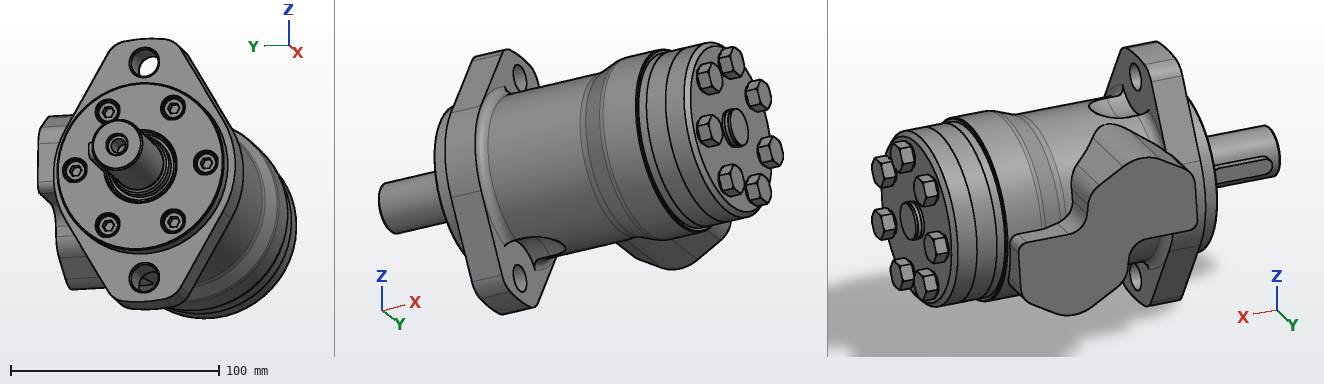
import cadquery as cq
import math


pilot_front_x = 46.3
flange_front_x = 54.5
flange_back_x = 71.0
shoulder_start_x = 127.5
shoulder_end_x = 139.7
housing_end_x = 159.3
spacer_end_x = 163.5
rotor_ring_end_x = 174.0
cover_end_x = 186.5
overall_length = 193.8

pilot_radius = 41.3
pilot_chamfer = 0.5
waist_radius = 40.5
shoulder_radius = 45.0
root_fillet = shoulder_radius - waist_radius
shoulder_start_blend = 9.7
shoulder_end_blend = 6.2
housing_end_chamfer = 0.5

flange_tip_radius = 65.0
flange_side_angle = 30.0
flange_corner_radius = 11.5
mount_hole_z = 53.0
mount_hole_diameter = 13.4
mount_hole_chamfer = 0.8
scallop_radius = 18.6
scallop_ball_x = 80.8

boss_center_x = 110.5
boss_root_y = 12.5
boss_face_y = 55.0
boss_step_z = 5.2
lobe_center_x = 92.6
lobe_wall_bottom = 29.6
lobe_wall_top = 27.7
lobe_roof_z = 25.0
lobe_apex_z = 41.3
lobe_apex_radius = 19.4
lobe_roof_radius = 12.0
boss_outer_radius = 4.5
boss_inner_radius = 9.7

screw_count = 6
screw_circle_radius = 32.4
screw_recess_diameter = 12.0
screw_recess_depth = 2.5
screw_head_diameter = 10.0
screw_head_height = 1.2
screw_head_chamfer = 0.4
screw_socket_flats = 5.0
screw_socket_depth = 3.9

seal_recess_diameter = 36.0
seal_recess_depth = 1.5
seal_recess_taper = 0.8
seal_step_diameter = 32.5
seal_step_depth = 3.0
shaft_diameter = 25.0
shaft_chamfer = 0.8
collar_diameter = 29.0
collar_front_x = 43.6
collar_chamfer = 1.0
shaft_groove_diameter = 24.2
shaft_groove_width = 0.8
center_bore_diameter = 10.0
center_bore_depth = 3.0
center_bore_chamfer = 0.4
center_hole_diameter = 7.0
center_hole_depth = 15.5
drill_tip_angle = 120.0
key_start_x = 5.8
key_length = 31.8
key_width = 8.1
key_height = 7.0
key_top_y = 15.5

stack_diameter = 86.0
cover_chamfer = 2.3
bolt_count = 7
bolt_circle_radius = 32.0
bolt_flats = 13.0
bolt_washer_diameter = 11.8
bolt_washer_thickness = 1.0
bolt_chamfer = 0.5
plug_neck_diameter = 18.0
plug_neck_length = 1.4
plug_diameter = 18.6
plug_tip_x = 189.7
plug_end_x = 190.9


def cylinder_x(x, length, diameter, y=0.0, z=0.0):
    """Cylinder along +X that starts at (x, y, z)."""
    axis_start = cq.Vector(x, y, z)
    return cq.Workplane(cq.Solid.makeCylinder(diameter / 2, length, axis_start, cq.Vector(1, 0, 0)))


def hexagon_x(x, length, flats, y=0.0, z=0.0):
    """Hexagonal prism along +X with two corners pointing along Y."""
    corner_diameter = flats / math.cos(math.radians(30))
    plane = cq.Workplane("YZ", origin=(x, y, z))
    return plane.polygon(6, corner_diameter).extrude(length)


def circle_places(count, radius):
    """Evenly spaced (y, z) places on a circle, the first one on the +Y side."""
    angles = [2 * math.pi * i / count for i in range(count)]
    return [(radius * math.cos(a), radius * math.sin(a)) for a in angles]


def make_barrel():
    """Turned part of the housing, from the flange to the rear shoulder."""
    root_end_x = flange_back_x + root_fillet
    root_middle = root_fillet * (1 - math.cos(math.radians(45)))
    profile = (
        cq.Workplane("XY")
        .moveTo(flange_front_x, 0)
        .lineTo(flange_front_x, shoulder_radius)
        .lineTo(flange_back_x, shoulder_radius)
        .threePointArc(
            (flange_back_x + root_middle, waist_radius + root_middle),
            (root_end_x, waist_radius),
        )
        .lineTo(shoulder_start_x, waist_radius)
        .lineTo(shoulder_end_x, shoulder_radius)
        .lineTo(housing_end_x, shoulder_radius)
        .lineTo(housing_end_x, 0)
        .close()
    )
    barrel = profile.revolve(360, (0, 0, 0), (1, 0, 0))
    for x, blend in ((shoulder_start_x, shoulder_start_blend), (shoulder_end_x, shoulder_end_blend)):
        barrel = barrel.edges(cq.selectors.NearestToPointSelector((x, 0, 0))).fillet(blend)
    return barrel.faces(">X").edges().chamfer(housing_end_chamfer)


def make_flange():
    """Diamond flange with rounded sides, and tips cut by a circle about the shaft axis."""
    thickness = flange_back_x - flange_front_x
    side_y = shoulder_radius / math.cos(math.radians(flange_side_angle))
    tip_z = shoulder_radius / math.sin(math.radians(flange_side_angle))
    diamond = (
        cq.Workplane("YZ", origin=(flange_front_x, 0, 0))
        .polyline([(side_y, 0), (0, tip_z), (-side_y, 0), (0, -tip_z)])
        .close()
        .extrude(thickness)
    )
    for side in (">Y", "<Y"):
        diamond = diamond.edges(side).fillet(shoulder_radius)
    flange = diamond.intersect(cylinder_x(flange_front_x, thickness, 2 * flange_tip_radius))
    middle_x = (flange_front_x + flange_back_x) / 2
    corner_angle = math.radians(flange_side_angle) + math.acos(shoulder_radius / flange_tip_radius)
    corner_y = flange_tip_radius * math.cos(corner_angle)
    corner_z = flange_tip_radius * math.sin(corner_angle)
    for y_side, z_side in ((1, 1), (1, -1), (-1, 1), (-1, -1)):
        corner = (middle_x, y_side * corner_y, z_side * corner_z)
        flange = flange.edges(cq.selectors.NearestToPointSelector(corner)).fillet(flange_corner_radius)
    return flange


def make_scallop(side):
    """Round-ended clearance behind a mounting hole; side is +1 above the axis and -1 below."""
    z = side * mount_hole_z
    length = scallop_ball_x - flange_back_x
    channel = cylinder_x(flange_back_x, length, 2 * scallop_radius, 0, z)
    ball = cq.Workplane("XY", origin=(scallop_ball_x, 0, z)).sphere(scallop_radius)
    behind_flange = cq.Workplane("XY", origin=(flange_back_x, 0, z)).box(
        2 * flange_tip_radius, 2 * flange_tip_radius, 2 * flange_tip_radius, centered=(False, True, True)
    )
    return channel.union(ball).intersect(behind_flange)


def make_mount_hole(side):
    """Through hole of the flange, chamfered at the front face."""
    z = side * mount_hole_z
    hole = cylinder_x(flange_front_x, flange_back_x - flange_front_x, mount_hole_diameter, 0, z)
    mouth_radius = mount_hole_diameter / 2 + mount_hole_chamfer
    mouth = cq.Workplane(
        cq.Solid.makeCone(
            mouth_radius,
            mount_hole_diameter / 2,
            mount_hole_chamfer,
            cq.Vector(flange_front_x, 0, z),
            cq.Vector(1, 0, 0),
        )
    )
    return hole.union(mouth)


def make_port_boss():
    """Boss on the +Y side for the two ports."""
    lobe_corners = [
        (lobe_center_x - lobe_wall_bottom, -boss_step_z, boss_outer_radius),
        (lobe_center_x - lobe_wall_top, lobe_roof_z, lobe_roof_radius),
        (lobe_center_x, lobe_apex_z, lobe_apex_radius),
        (lobe_center_x + lobe_wall_top, lobe_roof_z, lobe_roof_radius),
        (lobe_center_x + lobe_wall_bottom, boss_step_z, boss_inner_radius),
    ]
    turned_corners = [(2 * boss_center_x - x, -z, radius) for x, z, radius in lobe_corners]
    corners = lobe_corners + turned_corners
    boss = (
        cq.Workplane("XZ", origin=(0, boss_root_y, 0))
        .polyline([(x, z) for x, z, _ in corners])
        .close()
        .extrude(boss_root_y - boss_face_y)
    )
    middle_y = (boss_root_y + boss_face_y) / 2
    for x, z, radius in corners:
        boss = boss.edges(cq.selectors.NearestToPointSelector((x, middle_y, z))).fillet(radius)
    return boss


def make_screw_recess(y, z):
    """Cut for one socket screw: a ring around the sunken head, and its hexagonal socket."""
    head_x = pilot_front_x + screw_recess_depth - screw_head_height
    recess = cylinder_x(pilot_front_x, screw_recess_depth, screw_recess_diameter, y, z)
    head = cylinder_x(head_x, screw_head_height, screw_head_diameter, y, z)
    head = head.faces("<X").edges().chamfer(screw_head_chamfer)
    socket = hexagon_x(head_x, screw_socket_depth, screw_socket_flats, y, z)
    return recess.cut(head).union(socket)


def make_housing():
    pilot_length = flange_front_x - pilot_front_x
    pilot = cylinder_x(pilot_front_x, pilot_length, 2 * pilot_radius)
    pilot = pilot.faces("<X").edges().chamfer(pilot_chamfer)
    housing = make_barrel().union(make_flange()).union(pilot)
    for side in (1, -1):
        housing = housing.cut(make_scallop(side)).cut(make_mount_hole(side))
    housing = housing.union(make_port_boss())
    for y, z in circle_places(screw_count, screw_circle_radius):
        housing = housing.cut(make_screw_recess(y, z))
    seal_recess = cylinder_x(pilot_front_x, seal_recess_depth, seal_recess_diameter)
    housing = housing.cut(seal_recess.faces(">X").edges().chamfer(seal_recess_taper))
    housing = housing.cut(cylinder_x(pilot_front_x, seal_step_depth, seal_step_diameter))
    return housing.cut(cylinder_x(pilot_front_x, flange_back_x - pilot_front_x, collar_diameter))


def make_key():
    """Round-ended parallel key on the +Y side of the shaft."""
    middle_x = key_start_x + key_length / 2
    return (
        cq.Workplane("XZ", origin=(middle_x, key_top_y, 0))
        .slot2D(key_length, key_width)
        .extrude(key_height)
    )


def make_center_hole():
    """Counterbored hole with a drill tip in the free end of the shaft."""
    bore_radius = center_bore_diameter / 2
    hole_radius = center_hole_diameter / 2
    tip_length = hole_radius / math.tan(math.radians(drill_tip_angle / 2))
    return (
        cq.Workplane("XY")
        .polyline([
            (0, 0),
            (0, bore_radius + center_bore_chamfer),
            (center_bore_chamfer, bore_radius),
            (center_bore_depth, bore_radius),
            (center_bore_depth, hole_radius),
            (center_hole_depth, hole_radius),
            (center_hole_depth + tip_length, 0),
        ])
        .close()
        .revolve(360, (0, 0, 0), (1, 0, 0))
    )


def make_shaft():
    """Keyed shaft with a collar that fills the housing bore."""
    groove_x = collar_front_x - shaft_groove_width
    journal = cylinder_x(0, groove_x, shaft_diameter).faces("<X").edges().chamfer(shaft_chamfer)
    groove = cylinder_x(groove_x, shaft_groove_width, shaft_groove_diameter)
    collar = cylinder_x(collar_front_x, flange_back_x - collar_front_x, collar_diameter)
    collar = collar.faces("<X").edges().chamfer(collar_chamfer)
    return journal.union(groove).union(collar).cut(make_center_hole()).cut(make_key())


def make_bolt_head(y, z):
    """Hexagon head on its washer face, with the corners turned off at both ends."""
    head_x = cover_end_x + bolt_washer_thickness
    head_length = overall_length - head_x
    corner_diameter = bolt_flats / math.cos(math.radians(30))
    turned = cylinder_x(head_x, head_length, corner_diameter, y, z)
    turned = turned.edges("%CIRCLE").chamfer(bolt_chamfer)
    head = hexagon_x(head_x, head_length, bolt_flats, y, z).intersect(turned)
    return head.union(cylinder_x(cover_end_x, bolt_washer_thickness, bolt_washer_diameter, y, z))


def make_end_cover():
    """Chamfered end cover with its bolt heads and central plug."""
    cover = cylinder_x(rotor_ring_end_x, cover_end_x - rotor_ring_end_x, stack_diameter)
    cover = cover.faces(">X").edges().chamfer(cover_chamfer)
    plug_head_x = cover_end_x + plug_neck_length
    cover = cover.union(cylinder_x(cover_end_x, plug_neck_length, plug_neck_diameter))
    cover = cover.union(cylinder_x(plug_head_x, plug_tip_x - plug_head_x, plug_diameter))
    cover = cover.union(cylinder_x(plug_tip_x, plug_end_x - plug_tip_x, plug_neck_diameter))
    for y, z in circle_places(bolt_count, bolt_circle_radius):
        cover = cover.union(make_bolt_head(y, z))
    return cover


housing = make_housing()
shaft = make_shaft()
key = make_key()
spacer = cylinder_x(housing_end_x, spacer_end_x - housing_end_x, stack_diameter)
rotor_ring = cylinder_x(spacer_end_x, rotor_ring_end_x - spacer_end_x, stack_diameter)
end_cover = make_end_cover()

result = cq.Compound.makeCompound([
    housing.val(),
    shaft.val(),
    key.val(),
    spacer.val(),
    rotor_ring.val(),
    end_cover.val(),
])